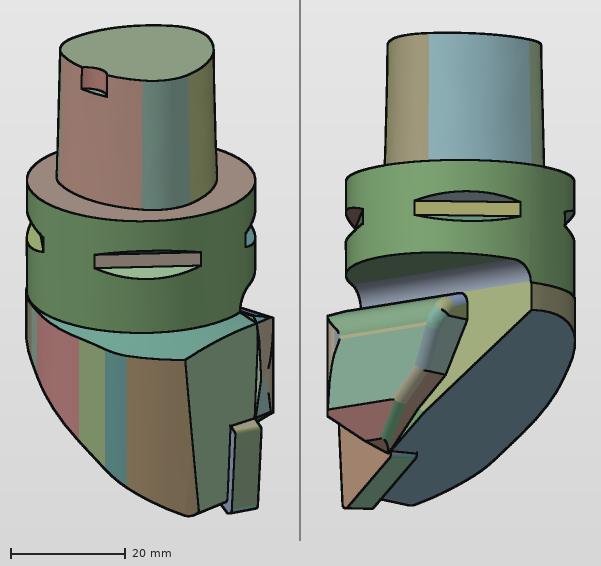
import cadquery as cq
import math


SHANK_LENGTH = 24.0
SHANK_MEAN_RADIUS = 14.05
SHANK_TAPER = 1 / 40
SHANK_LOBE_HEIGHT = 0.85
LOBE_CENTER_OFFSET = 6.15

NOTCH_RADIUS = 3.75
NOTCH_CENTER_Y = -14.75
NOTCH_DEPTH = 4.0

FLANGE_RADIUS = 20.0
FLANGE_HEIGHT = 20.95
SLOT_COUNT = 4
SLOT_FIRST_ANGLE = 45.0
SLOT_CENTER_Z = -8.2
SLOT_FLOOR_DISTANCE = 17.7
SLOT_FLOOR_HEIGHT = 2.5
SLOT_MOUTH_HEIGHT = 5.3

HEAD_RADIUS = 20.13
HEAD_BOTTOM = -60.0
HEAD_ROUND_END_ANGLE = 239.6
HEAD_FRONT_Y = -22.4
HEAD_LEFT_BLEND = (-7.6, -18.9)
HEAD_FLAT_LEFT_X = 5.2
HEAD_FLAT_RIGHT_X = 11.2
HEAD_RIGHT_BLEND = (15.5, -21.5)
HEAD_RIGHT_MIDDLE = (20.8, -18.1)
HEAD_RIGHT_END = (25.1, -13.4)
HEAD_BLANK_X = 30.0
SHOULDER_SLOPE = 0.28
BEVEL_START_Z = -25.7
BEVEL_ANGLE = 31.5
SIDE_TOP_X = 23.5
SIDE_LEAN = 3.0
HEAD_TIP_ROUND = 1.0

BACK_FACE_Y = 3.85
RELIEF_ROOF_END = (7.3, -17.2)
RELIEF_ROOF_SLOPE = 0.08
RELIEF_FOOT_Z = -20.8

BOSS_LEFT_X = -5.0
BOSS_LEFT_KNEE_Z = -25.8
BOSS_LEFT_FOOT = (0.0, -35.0)
BOSS_BOTTOM_X = 14.6
BOSS_BOTTOM_Z = -47.0
BOSS_RIGHT_FOOT = (24.7, -39.0)
BOSS_RIGHT_X = 25.3
BOSS_RIGHT_Z = -31.8
BOSS_TOP_Z = -20.9
BOSS_TOP_RIGHT_X = 22.0
BOSS_TOP_BEVEL_Z = -22.0
BOSS_BACK_Y = 11.4
BOSS_RIM_ROUND = 2.0

INSERT_TIP = (27.065, 0.0, -55.69)
INSERT_EDGE = 15.5
INSERT_ANGLE = 55.0
INSERT_THICKNESS = 6.35
INSERT_CORNER_RADIUS = 0.8
INSERT_SIDE_DIRECTION = 92.5
RAKE_X = 0.097
RAKE_Z = 0.117

REACH = 80.0


def lobe_point(radius, degrees):
    angle = math.radians(degrees)
    return cq.Vector(radius * math.cos(angle), radius * math.sin(angle), 0)


def shank_section(z):
    """Three-lobed outline of six tangent arcs at height z."""
    lobe_reach = SHANK_MEAN_RADIUS + SHANK_LOBE_HEIGHT
    flat_reach = SHANK_MEAN_RADIUS - SHANK_LOBE_HEIGHT
    step = lobe_reach - flat_reach
    flat_offset = (2 * step * LOBE_CENTER_OFFSET - step ** 2) / (LOBE_CENTER_OFFSET - 2 * step)
    shrink = SHANK_TAPER * z
    flat_radius = flat_reach + flat_offset - shrink
    height = cq.Vector(0, 0, z)

    def joint(lobe_angle, flat_center_angle):
        flat_center = lobe_point(flat_offset, flat_center_angle)
        lobe_center = lobe_point(LOBE_CENTER_OFFSET, lobe_angle)
        return flat_center + (lobe_center - flat_center).normalized() * flat_radius + height

    edges = []
    for lobe_angle in (90, 210, 330):
        previous_lobe = lobe_angle - 120
        next_lobe = lobe_angle + 120
        lobe_start = joint(lobe_angle, next_lobe)
        lobe_end = joint(lobe_angle, previous_lobe)
        lobe_middle = lobe_point(lobe_reach - shrink, lobe_angle) + height
        flat_middle = lobe_point(flat_reach - shrink, lobe_angle + 60) + height
        flat_end = joint(next_lobe, previous_lobe)
        edges.append(cq.Edge.makeThreePointArc(lobe_start, lobe_middle, lobe_end))
        edges.append(cq.Edge.makeThreePointArc(lobe_end, flat_middle, flat_end))
    return cq.Wire.assembleEdges(edges)


def make_shank():
    shank = cq.Workplane(cq.Solid.makeLoft([shank_section(0), shank_section(SHANK_LENGTH)]))
    notch = (
        cq.Workplane("XY", origin=(0, NOTCH_CENTER_Y, SHANK_LENGTH - NOTCH_DEPTH))
        .circle(NOTCH_RADIUS)
        .extrude(NOTCH_DEPTH)
    )
    return shank.cut(notch)


def make_gripper_slot(angle):
    """Straight slot with flared walls, square to the given direction."""
    mouth_depth = FLANGE_RADIUS - SLOT_FLOOR_DISTANCE
    flare = (SLOT_MOUTH_HEIGHT - SLOT_FLOOR_HEIGHT) / 2 / mouth_depth
    outer_distance = FLANGE_RADIUS + mouth_depth
    outer_half = SLOT_FLOOR_HEIGHT / 2 + flare * (outer_distance - SLOT_FLOOR_DISTANCE)
    floor_half = SLOT_FLOOR_HEIGHT / 2
    return (
        cq.Workplane("XZ", origin=(0, 0, SLOT_CENTER_Z))
        .moveTo(SLOT_FLOOR_DISTANCE, -floor_half)
        .lineTo(outer_distance, -outer_half)
        .lineTo(outer_distance, outer_half)
        .lineTo(SLOT_FLOOR_DISTANCE, floor_half)
        .close()
        .extrude(FLANGE_RADIUS, both=True)
        .rotate((0, 0, 0), (0, 0, 1), angle)
    )


def make_flange():
    flange = cq.Workplane("XY").circle(FLANGE_RADIUS).extrude(-FLANGE_HEIGHT)
    for i in range(SLOT_COUNT):
        flange = flange.cut(make_gripper_slot(SLOT_FIRST_ANGLE + i * 360 / SLOT_COUNT))
    return flange


def make_head():
    """Eccentric column with a conical shoulder, leaning flank and bevelled end."""
    left_angle = math.radians(HEAD_ROUND_END_ANGLE)
    arc_end = (HEAD_RADIUS * math.cos(left_angle), HEAD_RADIUS * math.sin(left_angle))
    column = (
        cq.Workplane("XY", origin=(0, 0, -FLANGE_HEIGHT))
        .moveTo(0, HEAD_RADIUS)
        .threePointArc((-HEAD_RADIUS, 0), arc_end)
        .lineTo(*HEAD_LEFT_BLEND)
        .tangentArcPoint((HEAD_FLAT_LEFT_X, HEAD_FRONT_Y), relative=False)
        .lineTo(HEAD_FLAT_RIGHT_X, HEAD_FRONT_Y)
        .tangentArcPoint(HEAD_RIGHT_BLEND, relative=False)
        .threePointArc(HEAD_RIGHT_MIDDLE, HEAD_RIGHT_END)
        .lineTo(HEAD_BLANK_X, HEAD_RIGHT_END[1])
        .lineTo(HEAD_BLANK_X, HEAD_RADIUS)
        .close()
        .extrude(HEAD_BOTTOM + FLANGE_HEIGHT)
    )
    shoulder_radius = 2 * FLANGE_RADIUS
    shoulder_drop = SHOULDER_SLOPE * (shoulder_radius - FLANGE_RADIUS)
    shoulder = (
        cq.Workplane("XZ")
        .moveTo(0, HEAD_BOTTOM)
        .lineTo(0, -FLANGE_HEIGHT)
        .lineTo(FLANGE_RADIUS, -FLANGE_HEIGHT)
        .lineTo(shoulder_radius, -FLANGE_HEIGHT - shoulder_drop)
        .lineTo(shoulder_radius, HEAD_BOTTOM)
        .close()
        .revolve(360, (0, 0), (0, 1))
    )
    bevel_slope = math.tan(math.radians(BEVEL_ANGLE))
    lean = math.tan(math.radians(SIDE_LEAN))
    left_x = -HEAD_RADIUS - 1
    left_z = BEVEL_START_Z + bevel_slope
    bevel_drop = bevel_slope * (SIDE_TOP_X - left_x) - left_z - FLANGE_HEIGHT
    tip_drop = bevel_drop / (1 - bevel_slope * lean)
    tip_x = SIDE_TOP_X + lean * tip_drop
    side_profile = (
        cq.Workplane("XZ")
        .moveTo(left_x, -FLANGE_HEIGHT)
        .lineTo(SIDE_TOP_X, -FLANGE_HEIGHT)
        .lineTo(tip_x, -FLANGE_HEIGHT - tip_drop)
        .lineTo(left_x, left_z)
        .close()
        .extrude(REACH / 2, both=True)
        .edges("|Y and >X")
        .fillet(HEAD_TIP_ROUND)
    )
    return column.intersect(shoulder).intersect(side_profile)


def make_back_relief():
    """Space behind the head, with a sloped roof blending into the back face."""
    roof_y, roof_z = RELIEF_ROOF_END
    outer_y = 2 * FLANGE_RADIUS
    return (
        cq.Workplane("YZ")
        .moveTo(outer_y, roof_z + RELIEF_ROOF_SLOPE * (outer_y - roof_y))
        .lineTo(roof_y, roof_z)
        .tangentArcPoint((BACK_FACE_Y, RELIEF_FOOT_Z), relative=False)
        .lineTo(BACK_FACE_Y, HEAD_BOTTOM)
        .lineTo(outer_y, HEAD_BOTTOM)
        .close()
        .extrude(REACH / 2, both=True)
    )


def rake_plane():
    """Plane of the insert's top face, with its local x along the side edge."""
    angle = math.radians(INSERT_SIDE_DIRECTION)
    run_x = math.cos(angle)
    run_z = math.sin(angle)
    side_edge = (run_x, -RAKE_X * run_x + RAKE_Z * run_z, run_z)
    return cq.Plane(origin=INSERT_TIP, xDir=side_edge, normal=(RAKE_X, 1, -RAKE_Z))


def make_rake_clearance():
    return cq.Workplane(rake_plane()).rect(2 * REACH, 2 * REACH).extrude(REACH)


def make_insert():
    angle = math.radians(-INSERT_ANGLE)
    end_x = INSERT_EDGE * math.cos(angle)
    end_y = INSERT_EDGE * math.sin(angle)
    plane = rake_plane()
    return (
        cq.Workplane(plane)
        .polyline([(0, 0), (INSERT_EDGE, 0), (INSERT_EDGE + end_x, end_y), (end_x, end_y)])
        .close()
        .extrude(-INSERT_THICKNESS)
        .edges(cq.selectors.ParallelDirSelector(plane.zDir))
        .fillet(INSERT_CORNER_RADIUS)
    )


def make_clamp_boss():
    """Hump behind the insert, shaped by its outlines along all three axes."""
    blank_top = BOSS_TOP_Z + 1
    front_outline = (
        cq.Workplane("XZ")
        .moveTo(BOSS_LEFT_X, BOSS_LEFT_KNEE_Z)
        .lineTo(BOSS_LEFT_X, blank_top)
        .lineTo(BOSS_TOP_RIGHT_X, blank_top)
        .lineTo(SIDE_TOP_X, BOSS_TOP_BEVEL_Z)
        .lineTo(BOSS_RIGHT_X, BOSS_RIGHT_Z)
        .lineTo(*BOSS_RIGHT_FOOT)
        .lineTo(BOSS_BOTTOM_X, BOSS_BOTTOM_Z)
        .lineTo(*BOSS_LEFT_FOOT)
        .close()
        .extrude(REACH / 2, both=True)
    )
    side_outline = (
        cq.Workplane("YZ")
        .moveTo(0, BOSS_BOTTOM_Z)
        .lineTo(2.3, BOSS_BOTTOM_Z)
        .lineTo(5.4, -44.9)
        .lineTo(9.3, -39.2)
        .lineTo(BOSS_BACK_Y, -27.6)
        .threePointArc((10.0, -23.6), (7.8, -22.1))
        .lineTo(4.2, BOSS_TOP_Z)
        .lineTo(0, BOSS_TOP_Z)
        .close()
        .extrude(REACH / 2, both=True)
    )
    top_outline = (
        cq.Workplane("XY")
        .moveTo(BOSS_LEFT_X, 0)
        .lineTo(BOSS_RIGHT_X, 0)
        .lineTo(BOSS_RIGHT_X, 3.3)
        .threePointArc((23.7, 8.0), (19.5, 11.0))
        .lineTo(18.0, BOSS_BACK_Y)
        .lineTo(BOSS_LEFT_X, BOSS_BACK_Y)
        .close()
        .extrude(-REACH)
    )
    rim_corner = (BOSS_LEFT_X, 4.5, BOSS_BOTTOM_Z + 1)
    opposite_corner = (12.0, BOSS_BACK_Y + 1, BOSS_TOP_Z)
    left_rim = cq.selectors.BoxSelector(rim_corner, opposite_corner)
    boss = front_outline.intersect(side_outline)
    boss = boss.edges(left_rim).edges("not(|Y or |X)").fillet(BOSS_RIM_ROUND)
    return boss.intersect(top_outline)


def make_back_space():
    """Everything cleared behind the head: the relief and the rake clearance below its roof."""
    below_roof = (
        cq.Workplane("XY", origin=(0, 0, RELIEF_FOOT_Z))
        .rect(REACH, REACH)
        .extrude(HEAD_BOTTOM)
    )
    return make_back_relief().union(make_rake_clearance().intersect(below_roof))


insert = make_insert()
back_space = make_back_space()
clamp_boss = make_clamp_boss().intersect(back_space)
column = make_flange().union(make_head()).cut(back_space)
holder = column.union(make_shank()).union(clamp_boss).cut(insert)

result = cq.Compound.makeCompound([holder.val(), insert.val()])